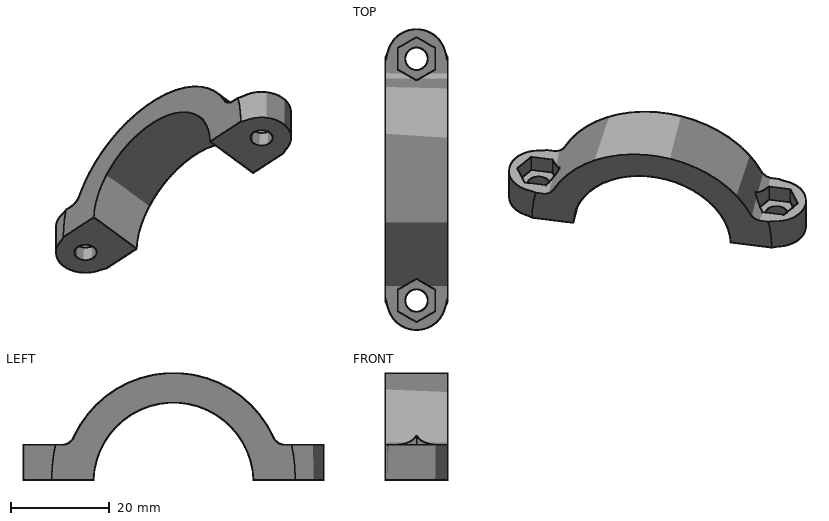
import cadquery as cq
import math

width = 12.7
overall_length = 61.0
overall_height = 21.75
axis_drop = 0.5
bore_radius = 16.2
arch_radius = overall_height + axis_drop

lug_radius = 6.0
lug_height = 7.2
lug_y = overall_length / 2 - lug_radius
top_fillet_radius = 2.5
side_fillet_radius = 5.0
bolt_hole_diameter = 4.5
nut_across_flats = 7.6
nut_floor_z = 3.5

fillet_centre_distance = arch_radius + top_fillet_radius
fillet_centre_z = lug_height + top_fillet_radius
fillet_angle = math.acos((fillet_centre_z + axis_drop) / fillet_centre_distance)
fillet_centre_y = fillet_centre_distance * math.sin(fillet_angle)
fillet_middle_y = fillet_centre_y - top_fillet_radius * math.sin(fillet_angle / 2)
fillet_middle_z = fillet_centre_z - top_fillet_radius * math.cos(fillet_angle / 2)
arch_tangent_y = arch_radius * math.sin(fillet_angle)
arch_tangent_z = arch_radius * math.cos(fillet_angle) - axis_drop

blank_width = 4 * width
blank_lug_bottom = -5.0
blank_lug_top = arch_tangent_z


def tube_cylinder(radius, length):
    """Cylinder about the tube axis, centred on X = 0."""
    return cq.Workplane("YZ").center(0, -axis_drop).circle(radius).extrude(length / 2, both=True)


def blended_blank():
    """Over-wide arch with round lugs, the lug walls blended into the arch by fillets."""
    lugs = (
        cq.Workplane("XY", origin=(0, 0, blank_lug_bottom))
        .pushPoints([(0, -lug_y), (0, lug_y)])
        .circle(lug_radius)
        .extrude(blank_lug_top - blank_lug_bottom)
    )
    blank = tube_cylinder(arch_radius, blank_width).union(lugs)
    return blank.edges("%BSPLINE").fillet(side_fillet_radius)


def side_profile():
    """Prism of the final width: arch, flat lug tops and the fillets between them."""
    end_y = overall_length / 2
    return (
        cq.Workplane("YZ")
        .moveTo(-end_y, 0)
        .lineTo(-end_y, lug_height)
        .lineTo(-fillet_centre_y, lug_height)
        .threePointArc((-fillet_middle_y, fillet_middle_z), (-arch_tangent_y, arch_tangent_z))
        .threePointArc((0, overall_height), (arch_tangent_y, arch_tangent_z))
        .threePointArc((fillet_middle_y, fillet_middle_z), (fillet_centre_y, lug_height))
        .lineTo(end_y, lug_height)
        .lineTo(end_y, 0)
        .close()
        .extrude(width / 2, both=True)
    )


def bolt_cutter(side):
    """Through hole with a hexagonal nut pocket above it, one corner pointing along Y."""
    hole = (
        cq.Workplane("XY")
        .center(0, side * lug_y)
        .circle(bolt_hole_diameter / 2)
        .extrude(overall_height)
    )
    nut_across_corners = nut_across_flats / math.cos(math.pi / 6)
    pocket = (
        cq.Workplane("XY", origin=(0, side * lug_y, nut_floor_z))
        .transformed(rotate=(0, 0, 90))
        .polygon(6, nut_across_corners)
        .extrude(overall_height - nut_floor_z)
    )
    return hole.union(pocket)


result = blended_blank().intersect(side_profile())
result = result.cut(tube_cylinder(bore_radius, width))
for lug_side in (-1, 1):
    result = result.cut(bolt_cutter(lug_side))